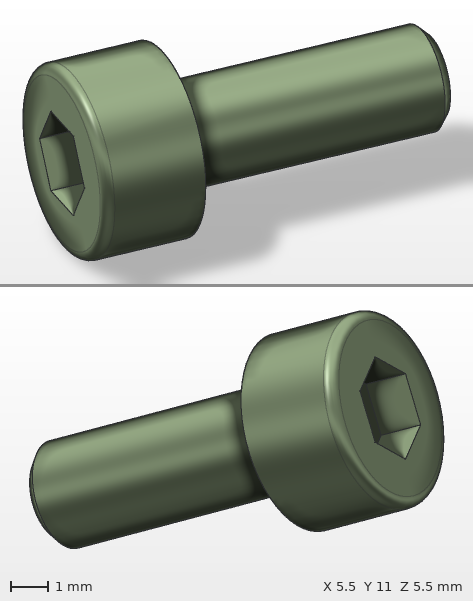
import cadquery as cq
import math

total_length = 11.0
head_diameter = 5.5
head_height = 3.0
head_rim_radius = 0.3
shank_diameter = 3.0
tip_chamfer = 0.3
neck_fillet_radius = 0.1
socket_across_flats = 2.5
socket_depth = 1.3

head_radius = head_diameter / 2
shank_radius = shank_diameter / 2
socket_across_corners = socket_across_flats / math.cos(math.radians(30))


def screw_body():
    """Revolve the half profile (radius along X) around the Y axis."""
    diagonal = math.sqrt(0.5)
    rim_center = head_radius - head_rim_radius
    neck_center_x = shank_radius + neck_fillet_radius
    neck_center_y = head_height + neck_fillet_radius
    profile = (
        cq.Workplane("XY")
        .lineTo(rim_center, 0)
        .threePointArc(
            (rim_center + head_rim_radius * diagonal, head_rim_radius * (1 - diagonal)),
            (head_radius, head_rim_radius),
        )
        .lineTo(head_radius, head_height)
        .lineTo(neck_center_x, head_height)
        .threePointArc(
            (neck_center_x - neck_fillet_radius * diagonal, neck_center_y - neck_fillet_radius * diagonal),
            (shank_radius, neck_center_y),
        )
        .lineTo(shank_radius, total_length - tip_chamfer)
        .lineTo(shank_radius - tip_chamfer, total_length)
        .lineTo(0, total_length)
        .close()
    )
    return profile.revolve(360, (0, 0), (0, 1))


def hex_socket():
    """Hexagonal prism with two corners on the X axis, sunk from the head face."""
    return cq.Workplane("XZ").polygon(6, socket_across_corners).extrude(-socket_depth)


result = screw_body().cut(hex_socket())